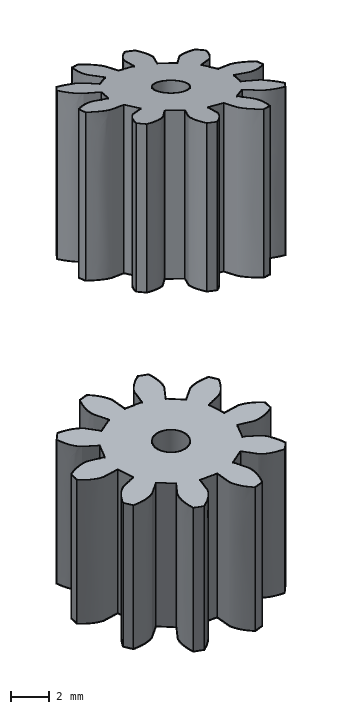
import cadquery as cq
import math


tip_to_tip_width = 11.99
gear_height = 9.38
bore_diameter = 2.0

tooth_count = 10
pressure_angle = math.radians(20)
dedendum_factor = 1.25
flank_steps = 8


def involute(angle):
    """Polar angle swept by an involute at the given pressure angle."""
    return math.tan(angle) - angle


tooth_pitch_angle = 2 * math.pi / tooth_count
pitch_half_angle = tooth_pitch_angle / 4
base_half_angle = pitch_half_angle + involute(pressure_angle)
tip_pressure_angle = math.acos(tooth_count * math.cos(pressure_angle) / (tooth_count + 2))
tip_half_angle = base_half_angle - involute(tip_pressure_angle)

tip_radius = tip_to_tip_width / 2 / math.cos(tip_half_angle)
module = 2 * tip_radius / (tooth_count + 2)
pitch_radius = module * tooth_count / 2
base_radius = pitch_radius * math.cos(pressure_angle)
root_radius = pitch_radius - dedendum_factor * module


def polar_point(radius, angle):
    return (radius * math.cos(angle), radius * math.sin(angle))


def flank_points(tooth_angle, side):
    """Involute from base circle to tip; side is -1 or +1 about the tooth centre line."""
    points = []
    for step in range(flank_steps + 1):
        roll = math.tan(tip_pressure_angle) * step / flank_steps
        local_pressure_angle = math.atan(roll)
        radius = base_radius / math.cos(local_pressure_angle)
        half_angle = base_half_angle - involute(local_pressure_angle)
        points.append(polar_point(radius, tooth_angle + side * half_angle))
    return points


def gear_outline():
    """Closed profile: radial flank feet, involute flanks, flat tips and flat roots."""
    outline = cq.Workplane("XY").moveTo(*polar_point(root_radius, -base_half_angle))
    for tooth in range(tooth_count):
        tooth_angle = tooth * tooth_pitch_angle
        rising_flank = flank_points(tooth_angle, -1)
        falling_flank = flank_points(tooth_angle, 1)[::-1]

        outline = outline.lineTo(*rising_flank[0])
        outline = outline.spline(rising_flank[1:], includeCurrent=True)
        outline = outline.lineTo(*falling_flank[0])
        outline = outline.spline(falling_flank[1:], includeCurrent=True)
        outline = outline.lineTo(*polar_point(root_radius, tooth_angle + base_half_angle))

        if tooth < tooth_count - 1:
            next_tooth_angle = tooth_angle + tooth_pitch_angle
            outline = outline.lineTo(*polar_point(root_radius, next_tooth_angle - base_half_angle))
    return outline.close()


gear_body = gear_outline().extrude(gear_height)
bore = cq.Workplane("XY").circle(bore_diameter / 2).extrude(gear_height)
result = gear_body.cut(bore)